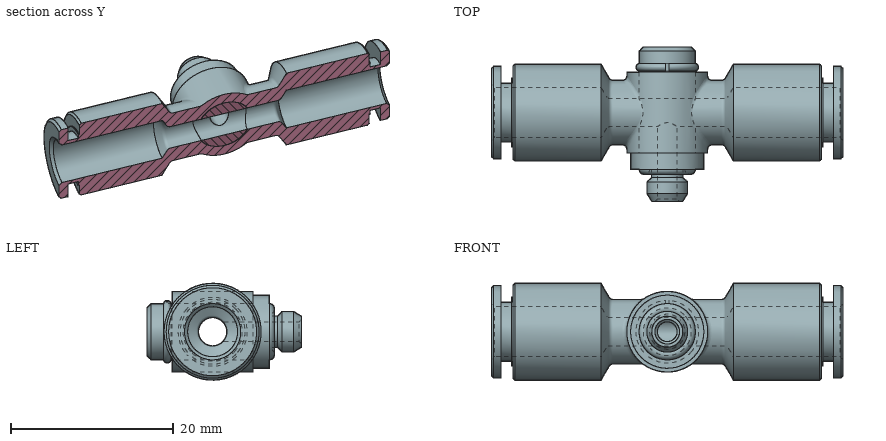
import cadquery as cq
import math

total_length = 43.4
half_length = total_length / 2
edge_fillet = 0.5

barrel_radius = 5.0
barrel_half_height = 5.0
neck_radius = 4.0

sleeve_radius = 6.0
sleeve_inner_end = 8.15
sleeve_outer_end = 19.05
sleeve_chamfer = 0.25
shoulder_angle = 60.0
shoulder_end = sleeve_inner_end - (sleeve_radius - neck_radius) / math.tan(math.radians(shoulder_angle))
seat_radius = 4.25
seat_end = 19.2

collet_neck_radius = 3.65
collet_flange_radius = 5.75
collet_flange_start = 20.5
collet_flange_chamfer = 0.3

socket_radius = 3.1
socket_lead_in = 0.4
socket_floor_angle = 59.0
socket_floor_start = sleeve_inner_end

cross_hole_radius = 1.75

cap_radius = 3.47
cap_end = 8.1
cap_chamfer = 0.5
flange_radius = 4.5
flange_end = -7.0
stud_neck_radius = 1.95
stud_neck_end = -8.05
stud_radius = 2.5
stud_start = -8.55
stud_taper_start = -10.0
stud_tip_radius = 1.9
stud_end = -11.0

stud_bore_radius = 1.2
stud_bore_chamfer = 0.3

retainer_wire_radius = 0.48
retainer_outer_radius = 3.85
retainer_end = 6.08
retainer_center = retainer_end - retainer_wire_radius
retainer_gap = 0.4
seal_outer_radius = 3.47
seal_wire_radius = 0.65


def turned_along_y(points):
    """Revolve a closed (radius, y) outline about the Y axis."""
    return cq.Workplane("XY").polyline(points).close().revolve(360, (0, 0, 0), (0, 1, 0))


def cylinder_along_y(radius, start, end):
    return turned_along_y([(0, start), (radius, start), (radius, end), (0, end)])


def ring_around_y(outer_radius, wire_radius, center_y):
    profile = cq.Workplane("XY").center(outer_radius - wire_radius, center_y).circle(wire_radius)
    return profile.revolve(360, (wire_radius - outer_radius, 0, 0), (wire_radius - outer_radius, 1, 0))


def on_both_sides(shape):
    return shape.union(shape.mirror("YZ"))


def make_core():
    """Barrel and the two necks, with rounded joints between them."""
    barrel = cylinder_along_y(barrel_radius, -barrel_half_height, barrel_half_height)
    necks = cq.Workplane("YZ").circle(neck_radius).extrude(shoulder_end, both=True)
    margin = 0.05
    reach_x = barrel_radius + margin
    reach_yz = neck_radius + margin
    joints = cq.selectors.BoxSelector((-reach_x, -reach_yz, -reach_yz), (reach_x, reach_yz, reach_yz))
    return barrel.union(necks).edges(joints).fillet(edge_fillet)


def corner_blend(corner, angle):
    """Start, middle and end of the arc that rounds an (x, radius) corner.

    The wall runs along X up to the corner and then rises outward at the given angle to X.
    """
    tangent_length = edge_fillet * math.tan(math.radians(angle / 2))
    slope = math.radians(angle)
    start = (corner[0] - tangent_length, corner[1])
    middle = (
        start[0] + edge_fillet * math.sin(slope / 2),
        start[1] + edge_fillet * (1 - math.cos(slope / 2)),
    )
    end = (
        corner[0] + tangent_length * math.cos(slope),
        corner[1] + tangent_length * math.sin(slope),
    )
    return start, middle, end


def make_sleeve():
    """Sleeve, shoulder and collet on the +X side."""
    blend_start, blend_middle, blend_end = corner_blend((shoulder_end, neck_radius), shoulder_angle)
    outline = (
        cq.Workplane("XY")
        .moveTo(blend_start[0], 0)
        .lineTo(*blend_start)
        .threePointArc(blend_middle, blend_end)
        .lineTo(sleeve_inner_end, sleeve_radius)
        .lineTo(sleeve_outer_end - sleeve_chamfer, sleeve_radius)
        .lineTo(sleeve_outer_end, sleeve_radius - sleeve_chamfer)
        .lineTo(sleeve_outer_end, seat_radius)
        .lineTo(seat_end, seat_radius)
        .lineTo(seat_end, collet_neck_radius)
        .lineTo(collet_flange_start, collet_neck_radius)
        .lineTo(collet_flange_start, collet_flange_radius)
        .lineTo(half_length - collet_flange_chamfer, collet_flange_radius)
        .lineTo(half_length, collet_flange_radius - collet_flange_chamfer)
        .lineTo(half_length, 0)
        .close()
    )
    return outline.revolve(360, (0, 0, 0), (1, 0, 0))


def make_socket():
    """Tube socket of the +X sleeve: lead-in, bore and a conical floor rounded into the cross hole."""
    floor_length = (socket_radius - cross_hole_radius) / math.tan(math.radians(socket_floor_angle))
    floor_corner = (socket_floor_start - floor_length, cross_hole_radius)
    blend_start, blend_middle, blend_end = corner_blend(floor_corner, socket_floor_angle)
    outline = (
        cq.Workplane("XY")
        .moveTo(blend_start[0], 0)
        .lineTo(*blend_start)
        .threePointArc(blend_middle, blend_end)
        .lineTo(socket_floor_start, socket_radius)
        .lineTo(half_length - socket_lead_in, socket_radius)
        .lineTo(half_length, socket_radius + socket_lead_in)
        .lineTo(half_length, 0)
        .close()
    )
    return outline.revolve(360, (0, 0, 0), (1, 0, 0))


def make_cross_hole():
    return cq.Workplane("YZ").circle(cross_hole_radius).extrude(half_length, both=True)


def make_housing():
    stem_bore = cylinder_along_y(cap_radius, -barrel_half_height, barrel_half_height)
    body = make_core().union(on_both_sides(make_sleeve()))
    return body.cut(on_both_sides(make_socket())).cut(make_cross_hole()).cut(stem_bore)


def make_retainer():
    """Split ring with its gap on the +Z side."""
    ring = ring_around_y(retainer_outer_radius, retainer_wire_radius, retainer_center)
    gap = (
        cq.Workplane("XY")
        .center(0, retainer_center)
        .rect(retainer_gap, 2 * retainer_wire_radius)
        .extrude(retainer_outer_radius)
    )
    return ring.cut(gap)


def make_stud_bore():
    """Bore from the stud tip into the cross hole, chamfered at the tip."""
    return turned_along_y([
        (0, stud_end),
        (stud_bore_radius + stud_bore_chamfer, stud_end),
        (stud_bore_radius, stud_end + stud_bore_chamfer),
        (stud_bore_radius, 0),
        (0, 0),
    ])


def make_stem():
    shaft = turned_along_y([
        (0, stud_end),
        (stud_tip_radius, stud_end),
        (stud_radius, stud_taper_start),
        (stud_radius, stud_start),
        (stud_neck_radius, stud_neck_end),
        (stud_neck_radius, flange_end),
        (flange_radius, flange_end),
        (flange_radius, -barrel_half_height),
        (cap_radius, -barrel_half_height),
        (cap_radius, cap_end - cap_chamfer),
        (cap_radius - cap_chamfer, cap_end),
        (0, cap_end),
    ])
    seal = ring_around_y(seal_outer_radius, seal_wire_radius, flange_end)
    return shaft.union(seal).union(make_retainer()).cut(make_cross_hole()).cut(make_stud_bore())


housing = make_housing()
stem = make_stem()
result = cq.Compound.makeCompound([*housing.solids().vals(), *stem.solids().vals()])